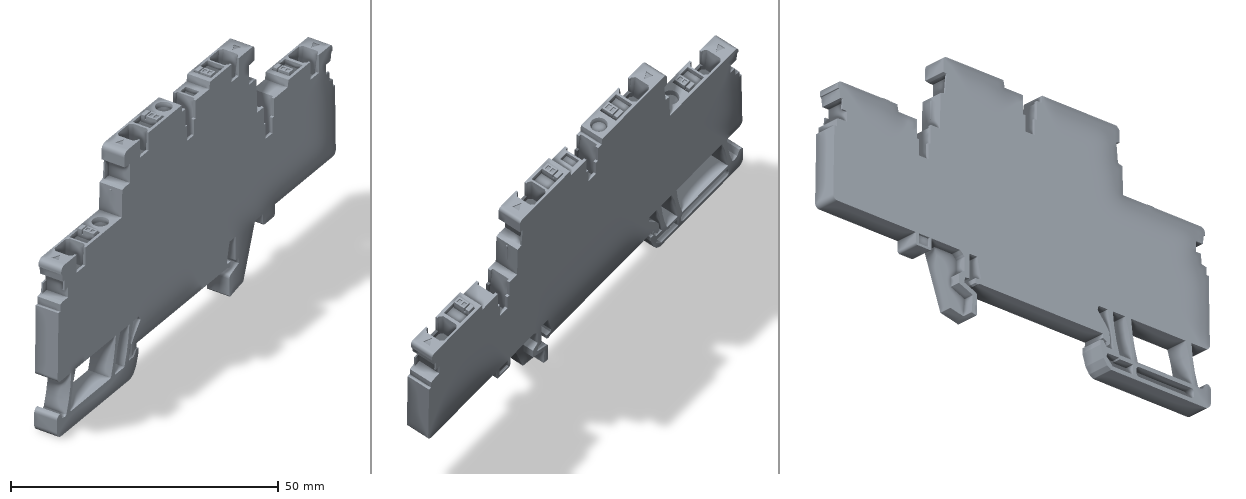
import cadquery as cq
import math

width = 5.1
length = 94.97
height = 52.0

body_bottom = 12.37
rail_seat = 6.9
lower_top = 37.6
upper_top = 51.6
ledge_drop = 1.5
lower_pusher_rise = 0.6
pusher_tops = {lower_top: lower_top + lower_pusher_rise, upper_top: height}

lower_right_end = 94.72
upper_left_end = 26.8
upper_right_end = 72.9

lower_ends_sum = lower_right_end
upper_ends_sum = upper_left_end + upper_right_end

lower_nose = 1.2
upper_nose = 27.7
left_nose_radius = 0.75
right_nose_radius = 1.15

notch_depth = 7.4
notch_shelf_depth = 4.0
lower_notch = 22.75
upper_notch = 49.45
notch_half_width = 1.15
notch_mouth_half_width = 1.75
flare_half_width = 2.3
inner_wall = 0.6

cut_margin = 0.5


def plan_y(station):
    return length / 2 - station


def plate(points, x_start=0.0, x_end=width):
    """Extrude a (station, z) outline between two X positions."""
    outline = [(plan_y(station), z) for station, z in points]
    start = cq.Workplane("YZ").workplane(offset=x_start - width / 2)
    return start.polyline(outline).close().extrude(x_end - x_start)


def block(x_range, station_range, z_range):
    """Box between two X positions (from the -X face), two stations and two heights."""
    first, last = station_range
    bottom, top = z_range
    points = [(first, bottom), (last, bottom), (last, top), (first, top)]
    return plate(points, *x_range)


def round_corner(solid, station, z, radius):
    """Round the full-width edge nearest to a corner of the outline."""
    corner = (0, plan_y(station), z)
    return solid.edges("|X").edges(cq.selectors.NearestToPointSelector(corner)).fillet(radius)


def reflect(points, end_sum):
    """Turn the profile of a left end into the profile of the matching right end."""
    return [(end_sum - station, z) for station, z in reversed(points)]



def lower_end_profile():
    """Finger grip of the lower tier, from the end face up to the top."""
    return [
        (0.0, body_bottom),
        (0.0, body_bottom + 1.1),
        (0.28, lower_top - 9.7),
        (0.9, lower_top - 9.7),
        (0.9, lower_top - 8.1),
        (2.1, lower_top - 7.8),
        (2.4, lower_top - 3.5),
        (1.8, lower_top - 3.5),
        (1.5, lower_top - 1.6),
        (lower_nose, lower_top - 1.6),
        (lower_nose, lower_top),
    ]


def upper_end_profile():
    """Finger grip of the upper tier, from the shoulder up to the top."""
    return [
        (upper_left_end + 0.2, upper_top - 8.0),
        (upper_left_end + 1.3, upper_top - 7.7),
        (upper_left_end + 1.7, upper_top - 3.5),
        (upper_nose, upper_top - 3.3),
        (upper_nose, upper_top),
    ]


def notch_profile(center, top):
    """Stepped marker notch, from its left rim to its right rim."""
    floor = top - notch_depth
    shelf = top - notch_shelf_depth
    left = [
        (center - notch_mouth_half_width, top),
        (center - notch_mouth_half_width, shelf),
        (center - notch_half_width, shelf),
        (center - notch_half_width, floor),
    ]
    return left + reflect(left, 2 * center)


def rail_profile():
    """Underside around the mounting rail, from the right hook to the left lug."""
    return [
        (66.7, body_bottom),
        (66.5, 11.4),
        (68.8, 8.7),
        (69.5, 7.6),
        (69.6, 5.3),
        (69.1, 4.9),
        (68.8, 5.6),
        (67.8, 6.0),
        (67.9, rail_seat),
        (36.8, rail_seat),
        (36.3, 6.6),
        (35.8, 6.8),
        (35.8, 7.8),
        (36.9, 7.8),
        (37.1, 8.3),
        (36.2, body_bottom),
    ]


def housing():
    bottom_corner_radius = 1.0
    lower_ledge = lower_top - ledge_drop
    upper_ledge = upper_top - ledge_drop
    outline = lower_end_profile()
    outline += [(16.1, lower_top), (16.4, lower_ledge)]
    outline += notch_profile(lower_notch, lower_ledge)
    outline += [(upper_left_end, lower_ledge)]
    outline += upper_end_profile()
    outline += [(42.8, upper_top), (43.1, upper_ledge)]
    outline += notch_profile(upper_notch, upper_ledge)
    outline += [(52.3, upper_ledge), (52.5, upper_top)]
    outline += reflect(upper_end_profile(), upper_ends_sum)
    outline += [(upper_right_end, lower_top)]
    outline += reflect(lower_end_profile(), lower_ends_sum)
    outline += rail_profile()
    solid = plate(outline)
    for station in (0.0, lower_right_end):
        solid = round_corner(solid, station, body_bottom, bottom_corner_radius)
    for nose, ends_sum, top in (
        (lower_nose, lower_ends_sum, lower_top),
        (upper_nose, upper_ends_sum, upper_top),
    ):
        solid = round_corner(solid, nose, top, left_nose_radius)
        solid = round_corner(solid, ends_sum - nose, top, right_nose_radius)
    return solid



foot_top = 3.8


def leg(left_edge, right_edge):
    """Thin bowed leg; each edge is an arc through three points, from the housing down."""
    left = [(plan_y(station), z) for station, z in left_edge]
    right = [(plan_y(station), z) for station, z in right_edge]
    return (
        cq.Workplane("YZ")
        .moveTo(*left[0])
        .threePointArc(left[1], left[2])
        .lineTo(*right[2])
        .threePointArc(right[1], right[0])
        .close()
        .extrude(width / 2, both=True)
    )


def foot():
    """Springy foot bar carried by three thin slanted legs."""
    toe_top = 5.1
    end_radius = 1.5
    toe_radius = 0.9
    hook_floor = 4.4
    bar = [
        (70.5, hook_floor),
        (68.8, hook_floor),
        (68.0, 5.5),
        (67.2, 5.5),
        (67.2, 4.4),
        (68.0, 1.9),
        (68.9, 0.6),
        (69.9, 0.0),
        (length, 0.0),
        (length, toe_top),
        (93.9, toe_top),
        (93.2, 3.9),
        (92.3, 3.6),
        (91.75, foot_top),
        (72.0, foot_top),
    ]
    solid = plate(bar)
    solid = round_corner(solid, length, 0.0, end_radius)
    solid = round_corner(solid, length, toe_top, toe_radius)
    legs = [
        leg(
            [(69.0, body_bottom), (69.9, 8.6), (70.5, hook_floor)],
            [(70.3, body_bottom), (70.8, 8.5), (72.0, foot_top)],
        ),
        leg(
            [(73.4, body_bottom), (74.5, 8.8), (75.2, foot_top)],
            [(74.9, body_bottom), (75.4, 8.6), (76.6, foot_top)],
        ),
        leg(
            [(88.6, body_bottom), (89.75, 8.3), (90.4, foot_top)],
            [(90.1, body_bottom), (90.6, 8.1), (91.75, foot_top)],
        ),
    ]
    for bowed_leg in legs:
        solid = solid.union(bowed_leg)
    return solid.cut(foot_recesses())


def foot_recesses():
    """Two blind slots along the -X face of the foot bar."""
    depth = 2.0
    bottom = 0.86
    top = 2.94
    raised_top = 3.2
    corner_radius = 0.7
    long_slot = block((0, depth), (76.25, 90.7), (bottom, top)).edges("|X").fillet(corner_radius)
    short_slot = plate(
        [
            (70.3, bottom),
            (75.4, bottom),
            (75.4, top),
            (72.1, top),
            (71.9, raised_top),
            (69.0, raised_top),
            (68.7, 2.5),
        ],
        0,
        depth,
    )
    return long_slot.union(short_slot)


def latch():
    """Hooked full-width strip backed by a triangular web on its +Y side."""
    web_start = 2.3
    hook_tip_radius = 0.9
    web_edge = [
        (31.9, body_bottom),
        (32.7, 11.7),
        (33.0, 11.3),
        (33.0, 8.4),
        (31.6, 7.4),
        (31.6, 5.4),
        (35.1, 4.0),
        (34.8, 0.3),
    ]
    hook_tip = (36.2, 4.7)
    strip = web_edge + [
        (36.0, 0.0),
        (36.2, 0.3),
        hook_tip,
        (33.0, 5.9),
        (33.1, 7.0),
        (34.2, 7.2),
        (34.2, body_bottom),
    ]
    web = web_edge + [(31.5, 0.97), (27.5, body_bottom)]
    hook = round_corner(plate(strip), *hook_tip, hook_tip_radius)
    return hook.union(plate(web, web_start, width))


def lug():
    """Small lug under the housing, recessed from the -X face."""
    bottom = 9.8
    corner_radius = 0.5
    wall = 0.5
    outer_wall = 0.8
    recess_depth = 0.5
    first, last = 20.75, 24.75
    solid = block((0, width), (first, last), (bottom, body_bottom))
    solid = round_corner(solid, first, bottom, corner_radius)
    solid = round_corner(solid, last, bottom, corner_radius)
    recess = block((0, recess_depth), (first + outer_wall, last - wall), (bottom + wall, body_bottom))
    return solid.cut(recess)



def wire_entry(grip_end, inner_end, top):
    """Funnel for a conductor, breaking out through the +X side."""
    depth = 5.0
    wall = 0.4
    inset = 0.2
    grip_end_slope = 0.85
    corner_chamfer = 0.6
    mouth_width = width - 2 * wall
    mouth_y = plan_y(grip_end)
    throat_y = plan_y(grip_end + math.copysign(grip_end_slope, inner_end - grip_end))
    throat_end_y = plan_y(inner_end - math.copysign(inset, inner_end - grip_end))
    mouth_center = (mouth_y + plan_y(inner_end)) / 2
    throat_center = (throat_y + throat_end_y) / 2
    funnel = (
        cq.Workplane("XY", origin=(0, mouth_center, top))
        .rect(mouth_width, abs(inner_end - grip_end))
        .workplane(offset=-depth)
        .center(0, throat_center - mouth_center)
        .rect(mouth_width - 2 * inset, abs(throat_end_y - throat_y))
        .loft(combine=True)
        .edges("not(|X or |Y)")
        .chamfer(corner_chamfer)
    )
    first, last = sorted((grip_end, inner_end))
    side_margin = 1.0
    opening_depth = 4.0
    opening = block(
        (width / 2, width + cut_margin),
        (first + side_margin, last - side_margin),
        (top - opening_depth, top + cut_margin),
    )
    return funnel.union(opening)


def pusher_recess(first, last, top):
    """Rectangular recess around the release pusher."""
    depth = 1.2
    return block((inner_wall, width - inner_wall), (first, last), (top - depth, top + cut_margin))


def pusher(first, last, top):
    """Release pusher standing above the top face, with a cross slot and two dimples."""
    base_depth = 1.5
    slot_depth = 0.5
    pusher_top = pusher_tops[top]
    slot_start, slot_end = 1.6, 1.9
    solid = block((0.75, 4.3), (first, last), (top - base_depth, pusher_top))
    slot_z = (top - slot_depth, pusher_top)
    solid = solid.cut(block((slot_start, slot_end), (first, last), slot_z))
    dimple_depth = 0.3
    rim = 0.35
    for dimple in ((2.15, 2.85), (3.2, 3.95)):
        dimple_z = (pusher_top - dimple_depth, pusher_top)
        solid = solid.cut(block(dimple, (first + rim, last - rim), dimple_z))
    return solid


def arrow(base, tip, top):
    """Engraved triangle pointing from its base toward the conductor opening."""
    depth = 0.2
    half_base = 0.8
    corners = [(-half_base, plan_y(base)), (half_base, plan_y(base)), (0, plan_y(tip))]
    return cq.Workplane("XY", origin=(0, 0, top - depth)).polyline(corners).close().extrude(2 * depth)


def test_hole(station, top):
    """Round probe opening narrowing toward its floor."""
    depth = 1.0
    mouth_radius = 1.65
    floor_radius = 1.4
    return (
        cq.Workplane("XY", origin=(0, plan_y(station), top))
        .circle(mouth_radius)
        .workplane(offset=-depth)
        .circle(floor_radius)
        .loft(combine=True)
    )


def notch_flare(center, top):
    """Tapered widening of a marker notch between its two side walls."""
    floor_below_notch = 1.0
    floor = top - notch_depth - floor_below_notch
    profile = [
        (center - flare_half_width, top),
        (center - notch_half_width, floor),
        (center + notch_half_width, floor),
        (center + flare_half_width, top),
    ]
    return plate(profile, inner_wall, width - inner_wall)


def marker_pocket():
    """Small rectangular pocket in the ledge beside the upper marker notch."""
    depth = 1.0
    ledge = upper_top - ledge_drop
    return block((0.95, 3.95), (44.8, 46.7), (ledge - depth, ledge))


def shoulder_ribs():
    """Thin upright rib on each end face of the upper tier."""
    rib_half = 0.2
    root = 0.6
    rib_x = (width / 2 - rib_half, width / 2 + rib_half)
    rib_z = (38.9, 42.9)
    left = block(rib_x, (upper_left_end, upper_left_end + root), rib_z)
    right = block(rib_x, (upper_right_end - root, upper_right_end), rib_z)
    return left.union(right)


def neck_recesses():
    """Pockets behind the necks of the grips, each leaving a thin wall on one side face.

    On the lower tier the wall changes sides halfway up.
    """
    wall = 0.35
    open_to_plus_x = (wall, width)
    open_to_minus_x = (0, width - wall)
    lower_middle = 31.9
    lower_left, lower_right = (1.8, 3.4), (91.2, 92.9)
    upper_left, upper_right = (28.0, 29.6), (70.1, 71.7)
    above_shoulder = (29.7, lower_middle)
    below_nose = (lower_middle, lower_top - 3.5)
    upper_neck = (upper_top - 7.8, upper_top - 3.5)
    return [
        block(open_to_minus_x, lower_left, above_shoulder),
        block(open_to_plus_x, lower_left, below_nose),
        block(open_to_plus_x, lower_right, above_shoulder),
        block(open_to_minus_x, lower_right, below_nose),
        block(open_to_plus_x, upper_left, upper_neck),
        block(open_to_plus_x, upper_right, upper_neck),
    ]


terminals = [
    ((4.8, 9.7), (10.4, 14.9), (13.2, 14.8), (2.7, 4.4), lower_top),
    ((32.0, 36.5), (36.9, 41.6), (39.8, 41.5), (29.6, 31.3), upper_top),
    ((67.7, 62.8), (57.4, 62.3), (57.9, 59.8), (70.0, 68.3), upper_top),
    ((89.3, 84.3), (79.3, 83.9), (79.7, 81.3), (91.7, 90.0), lower_top),
]
test_holes = [(54.7, upper_top), (76.3, lower_top)]

result = housing().union(foot()).union(latch()).union(lug()).union(shoulder_ribs())

for funnel_range, recess_range, pusher_range, arrow_range, tier_top in terminals:
    result = result.cut(wire_entry(*funnel_range, tier_top))
    result = result.cut(pusher_recess(*recess_range, tier_top))
    result = result.union(pusher(*pusher_range, tier_top))
    result = result.cut(arrow(*arrow_range, tier_top))

for hole_station, hole_top in test_holes:
    result = result.cut(test_hole(hole_station, hole_top))

result = result.cut(notch_flare(lower_notch, lower_top - ledge_drop))
result = result.cut(notch_flare(upper_notch, upper_top - ledge_drop))

result = result.cut(marker_pocket())

for pocket in neck_recesses():
    result = result.cut(pocket)